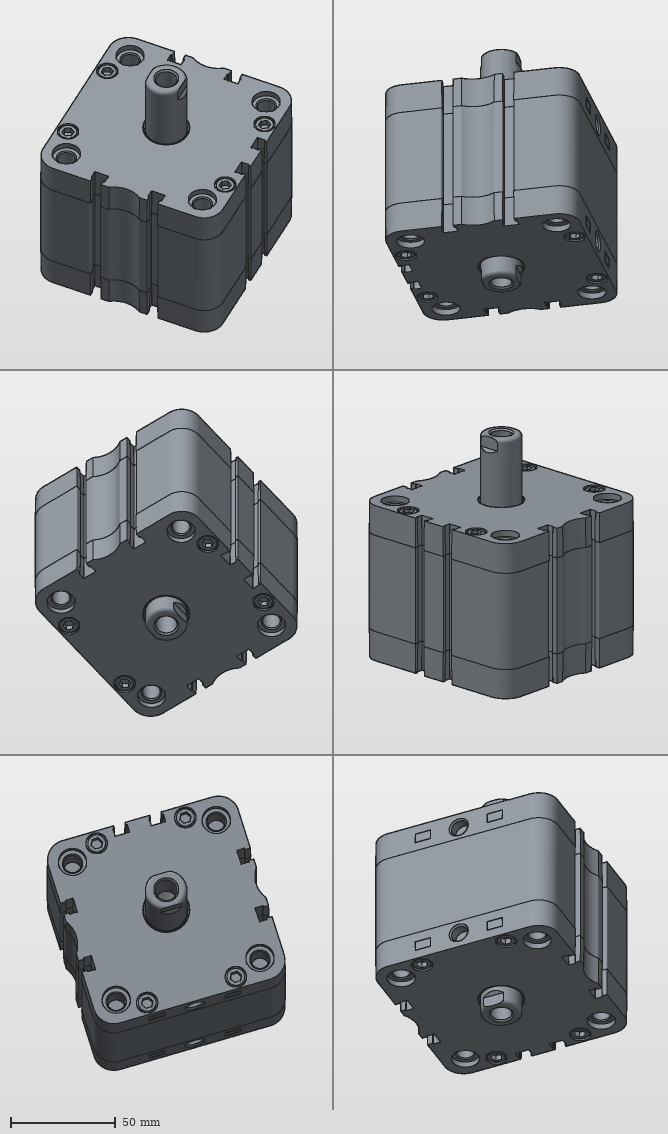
import cadquery as cq
import math


HOUSING_SIDE = 95.5
HOUSING_HEIGHT = 78.9
CORNER_RADIUS = 10.1
CAP_HEIGHT = 15.0
CAP_DRAFT = 0.7
BARREL_HEIGHT = HOUSING_HEIGHT - 2 * CAP_HEIGHT

SLOT_MOUTH = 5.4
SLOT_WIDTH = 6.8
Y_SLOT_OFFSET = 15.0
Y_SLOT_DEPTH = 6.6
Y_SLOT_LIP = 3.0
X_SLOT_OFFSET = 9.0
X_SLOT_DEPTH = 5.2
X_SLOT_LIP = 1.6
SLOT_EDGE_RADIUS = 0.7
GROOVE_RADIUS = 13.9
GROOVE_DEPTH = 2.6
GROOVE_EDGE_RADIUS = 1.2

MOUNT_OFFSET = 36.0
MOUNT_HOLE = 8.5
MOUNT_CHAMFER = 9.8
MOUNT_COUNTERBORE = 13.5
MOUNT_COUNTERBORE_DEPTH = 3.0

SCREW_X = 41.6
SCREW_Y = 22.2
SCREW_RECESS = 10.2
SCREW_TOP = 8.5
SCREW_SINK = 0.4
SCREW_HEX = 5.0
SCREW_HEX_DEPTH = 3.0
SCREW_BEVEL = (SCREW_RECESS - SCREW_TOP) / 2

PORT_DROP = 8.0
PORT_HOLE = 8.4
PORT_CHAMFER = 10.1
PORT_DEPTH = 5.6
LABEL_DROP = 7.5
LABEL_OFFSET = 19.0
LABEL_WIDTH = 8.0
LABEL_HEIGHT = 5.0
LABEL_DEPTH = 0.2

ROD_DIAMETER = 20.0
ROD_TOP_REACH = 34.0
ROD_BOTTOM_REACH = 9.0
ROD_EDGE_RADIUS = 2.0
FLAT_SPACING = 17.0
FLAT_LENGTH = 6.0
ROD_HOLE = 10.2
ROD_HOLE_CHAMFER = 12.0
ROD_HOLE_DEPTH = 20.0
DRILL_POINT_ANGLE = 118.0

ROD_RECESS_CHAMFER = 22.6
ROD_RECESS = 22.0
ROD_RECESS_DEPTH = 0.6
ROD_GAP = 20.6
ROD_GAP_DEPTH = 1.2

HALF_SIDE = HOUSING_SIDE / 2
CAP_BASE = BARREL_HEIGHT / 2
CAP_FACE = HOUSING_HEIGHT / 2
OVERSHOOT = 1.2


def square_prism(base, height, draft):
    """Rounded square of the housing, extruded up from the level `base`."""
    outline = cq.Sketch().rect(HOUSING_SIDE, HOUSING_SIDE).vertices().fillet(CORNER_RADIUS)
    return cq.Workplane("XY").workplane(offset=base).placeSketch(outline).extrude(height, taper=draft)


def slot_cutter(base, height, draft, offset, depth, lip):
    """T-slot opening to -Y; the draft widens it upwards."""
    mouth = SLOT_MOUTH / 2
    inner = SLOT_WIDTH / 2
    outer_y = -HALF_SIDE - OVERSHOOT
    lip_y = -HALF_SIDE + lip
    floor_y = -HALF_SIDE + depth
    outline = [
        (offset - mouth, outer_y),
        (offset + mouth, outer_y),
        (offset + mouth, lip_y),
        (offset + inner, lip_y),
        (offset + inner, floor_y),
        (offset - inner, floor_y),
        (offset - inner, lip_y),
        (offset - mouth, lip_y),
    ]
    return cq.Workplane("XY").workplane(offset=base).polyline(outline).close().extrude(height, taper=-draft)


def profile_body(base, height, draft):
    """Housing section with its slots and grooves."""
    body = square_prism(base, height, draft)
    for side in (-1, 1):
        y_slot = slot_cutter(base, height, draft, side * Y_SLOT_OFFSET, Y_SLOT_DEPTH, Y_SLOT_LIP)
        x_slot = slot_cutter(base, height, draft, side * X_SLOT_OFFSET, X_SLOT_DEPTH, X_SLOT_LIP)
        groove = (
            cq.Workplane("XY")
            .workplane(offset=base)
            .center(0, side * (HALF_SIDE + GROOVE_RADIUS - GROOVE_DEPTH))
            .circle(GROOVE_RADIUS)
            .extrude(height, taper=-draft)
        )
        body = body.cut(y_slot).cut(y_slot.mirror("XZ"))
        body = body.cut(x_slot.rotate((0, 0, 0), (0, 0, 1), 90))
        body = body.cut(groove)
    return body


def make_barrel():
    barrel = profile_body(-CAP_BASE, BARREL_HEIGHT, 0)
    groove_half_width = math.sqrt(GROOVE_RADIUS**2 - (GROOVE_RADIUS - GROOVE_DEPTH) ** 2)
    slot_outer_edge = Y_SLOT_OFFSET + SLOT_MOUTH / 2
    rounded_edges = [(slot_outer_edge, SLOT_EDGE_RADIUS), (groove_half_width, GROOVE_EDGE_RADIUS)]
    for edge_x, radius in rounded_edges:
        for x in (-edge_x, edge_x):
            for y in (-HALF_SIDE, HALF_SIDE):
                edge = cq.selectors.NearestToPointSelector((x, y, 0))
                barrel = barrel.edges("|Z").edges(edge).fillet(radius)
    return barrel.cut(cq.Workplane("XY").circle(ROD_DIAMETER / 2).extrude(BARREL_HEIGHT / 2, both=True))


def turned(profile):
    """Solid of revolution about Z from (radius, height) points."""
    return cq.Workplane("XZ").polyline(profile).close().revolve(360, (0, 0, 0), (0, 1, 0))


def mount_hole_cutter():
    """Corner hole with a chamfered edge below its counterbore, measured down from the cap face."""
    chamfer = (MOUNT_CHAMFER - MOUNT_HOLE) / 2
    return turned([
        (0, 0),
        (MOUNT_COUNTERBORE / 2, 0),
        (MOUNT_COUNTERBORE / 2, -MOUNT_COUNTERBORE_DEPTH),
        (MOUNT_CHAMFER / 2, -MOUNT_COUNTERBORE_DEPTH),
        (MOUNT_HOLE / 2, -MOUNT_COUNTERBORE_DEPTH - chamfer),
        (MOUNT_HOLE / 2, -CAP_HEIGHT),
        (0, -CAP_HEIGHT),
    ])


def screw_cutter():
    """Space above a bevelled screw head, with its hexagon socket, measured down from the cap face."""
    recess = turned([
        (0, 0),
        (SCREW_RECESS / 2, 0),
        (SCREW_RECESS / 2, -SCREW_SINK - SCREW_BEVEL),
        (SCREW_TOP / 2, -SCREW_SINK),
        (0, -SCREW_SINK),
    ])
    across_corners = SCREW_HEX / math.cos(math.radians(30))
    socket = (
        cq.Workplane("XY")
        .polygon(6, across_corners)
        .extrude(-SCREW_SINK - SCREW_HEX_DEPTH)
        .rotate((0, 0, 0), (0, 0, 1), 30)
    )
    return recess.union(socket)


def rod_passage_cutter():
    """Rod bore through a cap with the stepped recess at its face, measured down from the cap face."""
    chamfer = (ROD_RECESS_CHAMFER - ROD_RECESS) / 2
    return turned([
        (0, 0),
        (ROD_RECESS_CHAMFER / 2, 0),
        (ROD_RECESS / 2, -chamfer),
        (ROD_RECESS / 2, -ROD_RECESS_DEPTH),
        (ROD_GAP / 2, -ROD_RECESS_DEPTH),
        (ROD_GAP / 2, -ROD_GAP_DEPTH),
        (ROD_DIAMETER / 2, -ROD_GAP_DEPTH),
        (ROD_DIAMETER / 2, -CAP_HEIGHT),
        (0, -CAP_HEIGHT),
    ])


def port_cutter(side_x):
    """Chamfered blind port running along +X from the side at `side_x`."""
    chamfer = (PORT_CHAMFER - PORT_HOLE) / 2
    port = turned([
        (0, -OVERSHOOT),
        (PORT_CHAMFER / 2, -OVERSHOOT),
        (PORT_CHAMFER / 2, 0),
        (PORT_HOLE / 2, chamfer),
        (PORT_HOLE / 2, PORT_DEPTH),
        (0, PORT_DEPTH),
    ])
    return port.rotate((0, 0, 0), (0, 1, 0), 90).translate((side_x, 0, CAP_FACE - PORT_DROP))


def drafted_side_x(drop):
    """X of the cap's -X side at the distance `drop` below the cap face."""
    return -HALF_SIDE + (CAP_HEIGHT - drop) * math.tan(math.radians(CAP_DRAFT))


def make_upper_cap():
    cap = profile_body(CAP_BASE, CAP_HEIGHT, CAP_DRAFT)
    cap = cap.cut(rod_passage_cutter().translate((0, 0, CAP_FACE)))
    for x in (-1, 1):
        for y in (-1, 1):
            cap = cap.cut(mount_hole_cutter().translate((x * MOUNT_OFFSET, y * MOUNT_OFFSET, CAP_FACE)))
            cap = cap.cut(screw_cutter().translate((x * SCREW_X, y * SCREW_Y, CAP_FACE)))
    cap = cap.cut(port_cutter(drafted_side_x(PORT_DROP)))
    for y in (-LABEL_OFFSET, LABEL_OFFSET):
        label = cq.Workplane("XY").box(2 * LABEL_DEPTH, LABEL_WIDTH, LABEL_HEIGHT)
        cap = cap.cut(label.translate((drafted_side_x(LABEL_DROP), y, CAP_FACE - LABEL_DROP)))
    return cap


def flat_cutter():
    """Material outside one wrench flat on the +X side, measured down from the rod end."""
    flat_x = FLAT_SPACING / 2
    outer_x = ROD_DIAMETER / 2 + OVERSHOOT
    runout = outer_x - flat_x
    outline = [(flat_x, 0), (outer_x, 0), (outer_x, -FLAT_LENGTH - runout), (flat_x, -FLAT_LENGTH)]
    return cq.Workplane("XZ").polyline(outline).close().extrude(ROD_DIAMETER / 2, both=True)


def rod_hole_cutter():
    """Chamfered blind hole with a drill point, measured down from the rod end."""
    chamfer = (ROD_HOLE_CHAMFER - ROD_HOLE) / 2
    point = ROD_HOLE / 2 / math.tan(math.radians(DRILL_POINT_ANGLE / 2))
    return turned([
        (0, 0),
        (ROD_HOLE_CHAMFER / 2, 0),
        (ROD_HOLE / 2, -chamfer),
        (ROD_HOLE / 2, -ROD_HOLE_DEPTH),
        (0, -ROD_HOLE_DEPTH - point),
    ])


def make_rod():
    top = CAP_FACE + ROD_TOP_REACH
    bottom = -CAP_FACE - ROD_BOTTOM_REACH
    rod = cq.Workplane("XY").workplane(offset=bottom).circle(ROD_DIAMETER / 2).extrude(top - bottom)
    rod = rod.faces("<Z or >Z").edges().fillet(ROD_EDGE_RADIUS)
    end_cutter = flat_cutter().union(flat_cutter().mirror("YZ")).union(rod_hole_cutter())
    rod = rod.cut(end_cutter.translate((0, 0, top)))
    return rod.cut(end_cutter.mirror("XY").translate((0, 0, bottom)))


barrel = make_barrel()
upper_cap = make_upper_cap()
lower_cap = upper_cap.mirror("XY")
rod = make_rod()

result = cq.Compound.makeCompound([barrel.val(), upper_cap.val(), lower_cap.val(), rod.val()])